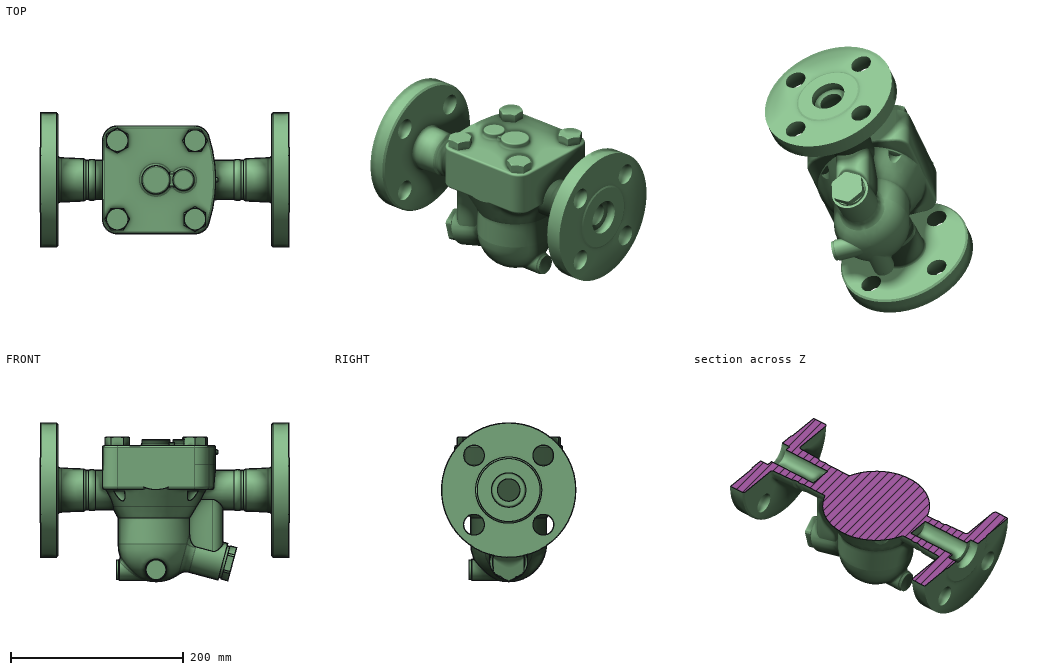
import cadquery as cq
import math

overall_length = 290.0
overall_height = 184.5
face_x = overall_length / 2
raised_face_height = 1.02
raised_face_tip_d = 73.0
raised_face_base_d = 76.8
flange_d = 156.0
flange_back_x = 123.8
flange_chamfer = 2.0
bolt_hole_d = 24.0
bolt_hole_pitch = 80.3
hub_fillet_x = 120.0
hub_base_r = 27.3
hub_fillet_r = 4.0
hub_large_r = 25.8
hub_small_x = 94.2
hub_small_r = 24.6
pipe_d = 46.0
pipe_start_x = 91.4
bead_outer_x = 88.5
bead_inner_x = 80.5
bead_height = 1.0
socket_d = 40.0
socket_depth = 10.7
bore_d = 26.0
bore_depth = 72.5

box_left_x = -72.2
box_right_x = 59.2
box_bottom_right_x = 58.5
box_half_y = 62.5
right_corner_x = 34.8
corner_r = 17.0
box_bottom_z = 0.5
seam_z = 29.5
cover_top_z = 51.5
cover_fillet = 2.3
box_bottom_fillet = 3.0

vessel_x = -10.2
vessel_r = 44.0
bowl_z = flange_d / 2 + vessel_r - overall_height
cylinder_top_z = -32.2
shoulder_z = -18.8
shoulder_r = 51.3
neck_r = 62.5

bolt_left_x = -55.0
bolt_right_x = 35.0
bolt_y = 45.5
head_flats = 25.0
head_height = 10.2
head_chamfer_angle = 30.0
hexagon_half_step = 30.0
bolt_recess_r = 9.0
bolt_recess_top_z = -1.0

large_boss_d = 33.0
small_boss_d = 25.0
small_boss_x = 21.8
boss_height = 7.0
boss_edge_fillet = 1.5
boss_root_fillet = 2.5
bridge_width = 14.0
bridge_height = 3.8
pin_d = 5.5
pin_end_fillet = 2.3
pin_z = 44.0
pin_end_x = 62.0

fairing_half_y = 20.3
fairing_end_x = 67.5
fairing_edge_r = 12.2
outlet_d = 44.0
outlet_tilt = 15.0
outlet_length = 80.3
outlet_root_fillet = 14.0
washer_d = 38.0
washer_end = 83.5
cap_d = 40.0
cap_flats = 36.0
cap_end = 91.5
drain_z = -92.5
drain_d = 25.0
drain_chamfer = 1.2
drain_length = 43.5
drain_root_fillet = 3.0
plug_d = 23.0
plug_end = 46.0


def flanged_end():
    """One flange with its hub and pipe, on the -X side, running in to the vessel axis."""
    pipe_r = pipe_d / 2
    flange_r = flange_d / 2
    flange_front_x = face_x - raised_face_height
    bead_mid_x = (bead_outer_x + bead_inner_x) / 2
    profile = (
        cq.Workplane("XY")
        .moveTo(-face_x, 0)
        .lineTo(-face_x, raised_face_tip_d / 2)
        .lineTo(-flange_front_x, raised_face_base_d / 2)
        .lineTo(-flange_front_x, flange_r)
        .lineTo(-flange_back_x - flange_chamfer, flange_r)
        .lineTo(-flange_back_x, flange_r - flange_chamfer)
        .lineTo(-flange_back_x, hub_base_r)
        .radiusArc((-hub_fillet_x, hub_large_r), -hub_fillet_r)
        .lineTo(-hub_small_x, hub_small_r)
        .lineTo(-pipe_start_x, pipe_r)
        .lineTo(-bead_outer_x, pipe_r)
        .threePointArc((-bead_mid_x, pipe_r + bead_height), (-bead_inner_x, pipe_r))
        .lineTo(vessel_x, pipe_r)
        .lineTo(vessel_x, 0)
        .close()
    )
    end = profile.revolve(360, (0, 0, 0), (1, 0, 0))
    holes = (
        cq.Workplane("YZ", origin=(-face_x, 0, 0))
        .rect(bolt_hole_pitch, bolt_hole_pitch, forConstruction=True)
        .vertices()
        .circle(bolt_hole_d / 2)
        .extrude(face_x - flange_back_x)
    )
    return end.cut(holes)


def stepped_bore():
    """Stepped bore entering the -X flange face."""
    start = cq.Workplane("YZ", origin=(-face_x, 0, 0))
    bore = start.circle(bore_d / 2).extrude(bore_depth)
    return bore.union(start.circle(socket_d / 2).extrude(socket_depth))


def box_outline(plane, right_x):
    """Rounded square whose +X side is one large arc tangent to both of its corners."""
    corner_y = box_half_y - corner_r
    left_x = box_left_x + corner_r
    reach = right_x - right_corner_x
    bulge_r = (reach**2 + corner_y**2 - corner_r**2) / (2 * (reach - corner_r))
    tilt = math.asin(corner_y / (bulge_r - corner_r))
    diagonal = corner_r * math.cos(math.pi / 4)
    mid = (math.pi / 2 + tilt) / 2

    def on_right_corner(angle, side):
        return (right_corner_x + corner_r * math.cos(angle), side * (corner_y + corner_r * math.sin(angle)))

    return (
        plane.moveTo(left_x, -box_half_y)
        .lineTo(right_corner_x, -box_half_y)
        .threePointArc(on_right_corner(mid, -1), on_right_corner(tilt, -1))
        .threePointArc((right_x, 0), on_right_corner(tilt, 1))
        .threePointArc(on_right_corner(mid, 1), (right_corner_x, box_half_y))
        .lineTo(left_x, box_half_y)
        .threePointArc((left_x - diagonal, corner_y + diagonal), (box_left_x, corner_y))
        .lineTo(box_left_x, -corner_y)
        .threePointArc((left_x - diagonal, -corner_y - diagonal), (left_x, -box_half_y))
        .close()
    )


def cover():
    """Flat cover plate with a rounded top edge."""
    plate = box_outline(cq.Workplane("XY", origin=(0, 0, seam_z)), box_right_x)
    return plate.extrude(cover_top_z - seam_z).faces(">Z").edges().fillet(cover_fillet)


def body_box():
    """Lower half of the box; its bulged side leans inwards towards the bottom."""
    bottom = box_outline(cq.Workplane("XY", origin=(0, 0, box_bottom_z)), box_bottom_right_x)
    top_plane = bottom.workplane(offset=seam_z - box_bottom_z)
    box = box_outline(top_plane, box_right_x).loft(ruled=True)
    return box.faces("<Z").edges().fillet(box_bottom_fillet)


def vessel():
    """Hemispherical bowl, cylinder and stepped cone, with the -X drain and the strainer outlet blended in."""
    neck_slope = (neck_r - shoulder_r) / (box_bottom_z - shoulder_z)
    neck_top_z = box_bottom_z + box_bottom_fillet
    profile = (
        cq.Workplane("XZ", origin=(vessel_x, 0, 0))
        .moveTo(0, bowl_z - vessel_r)
        .threePointArc(
            (vessel_r * math.cos(math.pi / 4), bowl_z - vessel_r * math.cos(math.pi / 4)),
            (vessel_r, bowl_z),
        )
        .lineTo(vessel_r, cylinder_top_z)
        .lineTo(shoulder_r, shoulder_z)
        .lineTo(neck_r + neck_slope * box_bottom_fillet, neck_top_z)
        .lineTo(0, neck_top_z)
        .close()
    )
    pot = profile.revolve(360, (0, 0, 0), (0, 1, 0))
    bottom = cq.Workplane("XY", origin=(0, 0, bowl_z - vessel_r))
    pot = pot.intersect(box_outline(bottom, box_bottom_right_x).extrude(neck_top_z - bowl_z + vessel_r))
    pot = pot.union(outlet_workplane(0).circle(outlet_d / 2).extrude(outlet_length))
    outlet_root = cq.selectors.BoxSelector(
        (vessel_x + vessel_r / 2, -vessel_r, bowl_z - vessel_r),
        (vessel_x + vessel_r, vessel_r, bowl_z + outlet_d / 3),
    )
    pot = pot.edges(outlet_root).fillet(outlet_root_fillet)
    pot = pot.union(drain((-1, 0, 0)))
    drain_root = cq.selectors.BoxSelector(
        (vessel_x - vessel_r * 0.8, -drain_d / 4, drain_z - drain_d / 4),
        (vessel_x - vessel_r * 0.5, drain_d / 4, drain_z + drain_d / 4),
    )
    return pot.edges(drain_root).fillet(drain_root_fillet)


def bolt_recesses():
    """Vertical round recesses in the cone, one under each cover bolt."""
    return (
        cq.Workplane("XY", origin=((bolt_left_x + bolt_right_x) / 2, 0, shoulder_z))
        .rect(bolt_right_x - bolt_left_x, 2 * bolt_y, forConstruction=True)
        .vertices()
        .circle(bolt_recess_r)
        .extrude(bolt_recess_top_z - shoulder_z)
    )


def outlet_workplane(distance):
    """Plane square to the strainer outlet axis, at a distance from the bowl centre."""
    tilt = math.radians(outlet_tilt)
    axis = cq.Vector(math.cos(tilt), 0, -math.sin(tilt))
    origin = cq.Vector(vessel_x, 0, bowl_z) + axis * distance
    return cq.Workplane(cq.Plane(origin=origin, xDir=(0, 1, 0), normal=axis))


def hexagon_prism(plane, flats, height, turn):
    """Hexagonal prism of a given width across flats, turned about its axis by some degrees."""
    return plane.transformed(rotate=(0, 0, turn)).polygon(6, flats / math.cos(math.pi / 6)).extrude(height)


def outlet_cap():
    """Round washer and hexagonal cap, its corners trimmed round, on the end of the strainer outlet."""
    washer = outlet_workplane(outlet_length).circle(washer_d / 2).extrude(washer_end - outlet_length)
    seat = outlet_workplane(washer_end)
    cap_length = cap_end - washer_end
    hexagon = hexagon_prism(seat, cap_flats, cap_length, hexagon_half_step)
    return washer.union(hexagon.intersect(seat.circle(cap_d / 2).extrude(cap_length)))


def cover_bolts():
    """Hexagon heads, diagonally opposite ones turned alike, with their top corners cut by a cone."""
    corner_cut = (head_flats / math.cos(math.pi / 6) - head_flats) / 2
    corner_drop = corner_cut * math.tan(math.radians(head_chamfer_angle))
    heads = cq.Workplane("XY")
    for x, x_side in ((bolt_left_x, -1), (bolt_right_x, 1)):
        for y_side in (-1, 1):
            turn = 0 if x_side == y_side else hexagon_half_step
            seat = cq.Workplane("XY", origin=(x, y_side * bolt_y, cover_top_z))
            envelope = seat.circle(head_flats / 2 + corner_cut).extrude(head_height)
            envelope = envelope.faces(">Z").chamfer(corner_drop, corner_cut)
            heads = heads.union(hexagon_prism(seat, head_flats, head_height, turn).intersect(envelope))
    return heads


def cover_with_bosses():
    """Cover with two round bosses joined by a low bridge, blended into its top."""
    top = cq.Workplane("XY", origin=(0, 0, cover_top_z))
    bridge_length = small_boss_x - vessel_x
    bridge = top.center((small_boss_x + vessel_x) / 2, 0).rect(bridge_length, bridge_width)
    bosses = bridge.extrude(bridge_height)
    for x, diameter in ((vessel_x, large_boss_d), (small_boss_x, small_boss_d)):
        boss = top.center(x, 0).circle(diameter / 2).extrude(boss_height)
        bosses = bosses.union(boss.faces(">Z").edges().fillet(boss_edge_fillet))
    plate = cover().union(bosses)
    root = cq.selectors.BoxSelector(
        (vessel_x - large_boss_d, -large_boss_d, cover_top_z - cover_fillet / 2),
        (small_boss_x + small_boss_d, large_boss_d, cover_top_z + bridge_height / 4),
    )
    return plate.edges(root).fillet(boss_root_fillet)


def locating_pin():
    """Round-ended pin on the bulged side of the cover."""
    pin = cq.Workplane("YZ", origin=(0, 0, pin_z)).circle(pin_d / 2).extrude(pin_end_x)
    return pin.faces(">X").edges().fillet(pin_end_fillet)


def fairing():
    """Upright rib under the outlet pipe, ending on the strainer outlet axis."""
    drop = (fairing_end_x - vessel_x) * math.tan(math.radians(outlet_tilt))
    rib = (
        cq.Workplane("XZ", origin=(vessel_x, fairing_half_y, 0))
        .polyline([
            (0, 0),
            (fairing_end_x - vessel_x, 0),
            (fairing_end_x - vessel_x, bowl_z - drop),
            (0, bowl_z),
        ])
        .close()
        .extrude(2 * fairing_half_y)
    )
    return rib.edges("|Z and >X").fillet(fairing_edge_r)


def drain(normal):
    """Horizontal drain boss and plug leaving the bowl along a direction."""
    start = cq.Workplane(cq.Plane(origin=(vessel_x, 0, drain_z), xDir=(0, 0, 1), normal=normal))
    boss = start.circle(drain_d / 2).extrude(drain_length)
    boss = boss.faces(cq.selectors.DirectionMinMaxSelector(cq.Vector(*normal), True)).chamfer(drain_chamfer)
    return boss.union(start.circle(plug_d / 2).extrude(plug_end))


result = vessel().cut(bolt_recesses())
result = result.union(body_box()).union(cover_with_bosses())
result = result.union(cover_bolts()).union(locating_pin())
result = result.union(fairing()).union(outlet_cap())
result = result.union(drain((0, -1, 0)))
end_piece = flanged_end()
bore_cut = stepped_bore()
result = result.union(end_piece).union(end_piece.mirror("YZ"))
result = result.cut(bore_cut).cut(bore_cut.mirror("YZ"))